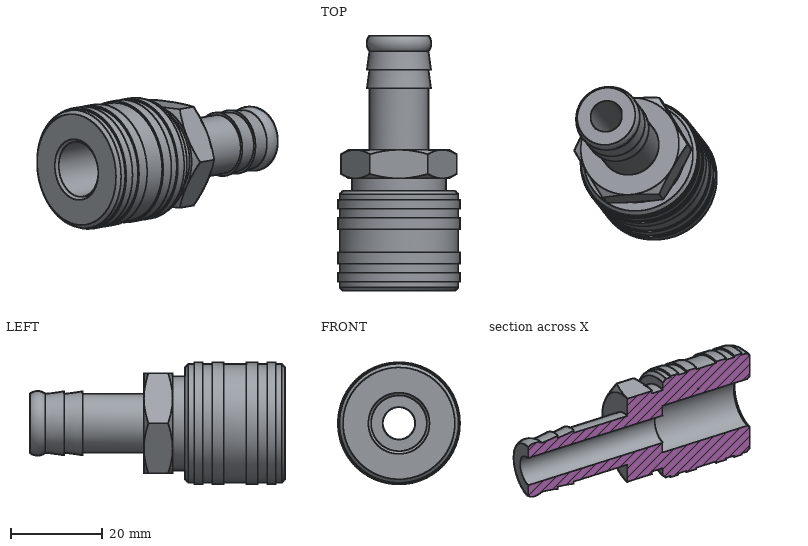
import cadquery as cq
import math

total_length = 56.0

sleeve_length = 22.0
sleeve_radius = 13.05
sleeve_chamfer = 0.8
band_diameter = 26.8
band_radius = band_diameter / 2
band_spans = [(2.0, 4.0), (6.0, 8.5)]

neck_radius = 10.35
hex_start = 24.7
hex_end = 30.95
hex_sides = 6
hex_across_flats = 22.0
hex_chamfer_angle = 30.0

stem_radius = 6.5
barb_radius = 7.05
barb_length = 4.1
barb_count = 2
bead_length = 3.4
bead_radius = 7.1

bore_radius = 3.5
socket_radius = 6.1
socket_depth = sleeve_length
socket_chamfer = 0.6


def cylinder(radius, start, end):
    """Solid cylinder along Y between two positions."""
    return cq.Workplane("XZ", origin=(0, start, 0)).circle(radius).extrude(start - end)


def revolve_about_y(profile):
    """Turn a closed (radius, Y) profile about the Y axis."""
    return profile.close().revolve(360, (0, 0, 0), (0, 1, 0))


def make_sleeve():
    sleeve = cylinder(sleeve_radius, 0, sleeve_length).faces("<Y or >Y").chamfer(sleeve_chamfer)
    for near, far in band_spans:
        sleeve = sleeve.union(cylinder(band_radius, near, far))
        sleeve = sleeve.union(cylinder(band_radius, sleeve_length - far, sleeve_length - near))
    return sleeve


def make_hexagon():
    """Hexagon with corners along X and conical chamfers that just touch the flats."""
    flat_radius = hex_across_flats / 2
    corner_radius = flat_radius / math.cos(math.pi / hex_sides)
    drop = (corner_radius - flat_radius) * math.tan(math.radians(hex_chamfer_angle))
    prism = (
        cq.Workplane("XZ", origin=(0, hex_start, 0))
        .polygon(hex_sides, 2 * corner_radius)
        .extrude(hex_start - hex_end)
    )
    envelope = revolve_about_y(
        cq.Workplane("XY")
        .moveTo(0, hex_start)
        .lineTo(flat_radius, hex_start)
        .lineTo(corner_radius, hex_start + drop)
        .lineTo(corner_radius, hex_end - drop)
        .lineTo(flat_radius, hex_end)
        .lineTo(0, hex_end)
    )
    return prism.intersect(envelope)


def make_hose_tail():
    """Stem with tapered barbs and a rounded bead at the tip."""
    bead_start = total_length - bead_length
    barbs_start = bead_start - barb_count * barb_length
    profile = (
        cq.Workplane("XY")
        .moveTo(0, hex_start)
        .lineTo(stem_radius, hex_start)
        .lineTo(stem_radius, barbs_start)
    )
    for index in range(barb_count):
        barb_start = barbs_start + index * barb_length
        barb_end = barb_start + barb_length
        profile = profile.lineTo(barb_radius, barb_start).lineTo(stem_radius, barb_end)
    profile = profile.threePointArc(
        (bead_radius, total_length - bead_length / 2), (stem_radius, total_length)
    ).lineTo(0, total_length)
    return revolve_about_y(profile)


def make_bore():
    """Through hole, wider socket and the chamfer at the socket mouth."""
    return revolve_about_y(
        cq.Workplane("XY")
        .moveTo(0, 0)
        .lineTo(socket_radius + socket_chamfer, 0)
        .lineTo(socket_radius, socket_chamfer)
        .lineTo(socket_radius, socket_depth)
        .lineTo(bore_radius, socket_depth)
        .lineTo(bore_radius, total_length)
        .lineTo(0, total_length)
    )


neck = cylinder(neck_radius, sleeve_length, hex_start)
result = make_sleeve().union(neck).union(make_hexagon()).union(make_hose_tail()).cut(make_bore())